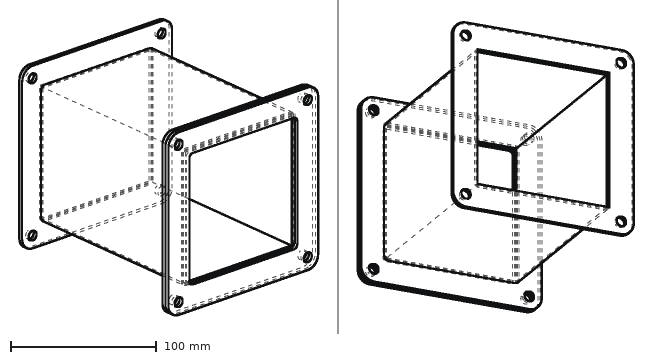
import cadquery as cq

overall_length = 155.5
flange_side = 136.6
plate_thickness = 3.1
flange_corner_radius = 9.5
opening_side = 99.9
bolt_hole_diameter = 7.2
tube_side = 102.0
tube_wall = 1.9
tube_corner_radius = 3.1
end_opening_radius = 3.1

bolt_spacing = flange_side - 2 * flange_corner_radius
tube_bore_side = tube_side - 2 * tube_wall
tube_start = plate_thickness
inner_flange_start = overall_length - 2 * plate_thickness
end_plate_start = overall_length - plate_thickness
tube_length = inner_flange_start - tube_start


def square_bar(side, length, start):
    """Square bar centred on the X axis, beginning at X = start."""
    return cq.Workplane("YZ", origin=(start, 0, 0)).rect(side, side).extrude(length)


def rounded_square_bar(side, corner_radius, length, start):
    """Square bar with rounded long edges."""
    return square_bar(side, length, start).edges("|X").fillet(corner_radius)


def make_plate_blank(start):
    """Rounded square plate with four bolt holes and no central opening."""
    plate = rounded_square_bar(flange_side, flange_corner_radius, plate_thickness, start)
    bolt_holes = (
        cq.Workplane("YZ", origin=(start, 0, 0))
        .rect(bolt_spacing, bolt_spacing, forConstruction=True)
        .vertices()
        .circle(bolt_hole_diameter / 2)
        .extrude(plate_thickness)
    )
    return plate.cut(bolt_holes)


def make_flange(start):
    """Flange with a sharp-cornered opening slightly wider than the tube bore."""
    opening = square_bar(opening_side, plate_thickness, start)
    return make_plate_blank(start).cut(opening)


def make_end_plate(start):
    """End plate whose rounded-corner opening is as wide as the tube bore."""
    opening = rounded_square_bar(tube_bore_side, end_opening_radius, plate_thickness, start)
    return make_plate_blank(start).cut(opening)


def make_duct_tube():
    """Thin-walled tube, rounded outside and sharp inside, butted between the flanges."""
    outside = rounded_square_bar(tube_side, tube_corner_radius, tube_length, tube_start)
    bore = square_bar(tube_bore_side, tube_length, tube_start)
    return outside.cut(bore)


duct_tube = make_duct_tube()
flanges = [make_flange(start).val() for start in (0, inner_flange_start)]
end_plate = make_end_plate(end_plate_start)

result = cq.Compound.makeCompound([duct_tube.val(), *flanges, end_plate.val()])